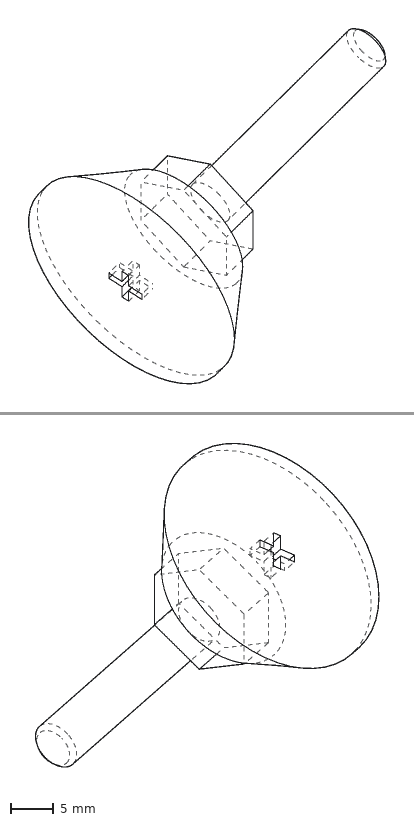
import cadquery as cq

total_length = 46.0

pad_diameter = 30.0
pad_top_diameter = 18.0
pad_height = 11.0
rim_height = 2.0
rim_fillet = 0.5

hex_across_flats = 13.0
hex_height = 5.0

stud_diameter = 6.0
stud_chamfer = 0.6
stud_length = total_length - pad_height - hex_height

cross_span = 5.0
cross_arm_width = 1.0
cross_depth = 2.02


def plane_at(height):
    """Plane square to the axis, with its normal along +Y and its local x along world X."""
    return cq.Workplane(cq.Plane(origin=(0, height, 0), xDir=(1, 0, 0), normal=(0, 1, 0)))


def make_pad():
    """Short cylindrical rim with a rounded bottom edge, tapering up to a flat top."""
    profile = (
        cq.Workplane("XY")
        .lineTo(pad_diameter / 2, 0)
        .lineTo(pad_diameter / 2, rim_height)
        .lineTo(pad_top_diameter / 2, pad_height)
        .lineTo(0, pad_height)
        .close()
    )
    pad = profile.revolve(360, (0, 0, 0), (0, 1, 0))
    return pad.faces("<Y").edges().fillet(rim_fillet)


def make_hexagon():
    """Hexagon with two corners on the Z direction and two flats facing X."""
    return plane_at(pad_height).polygon(6, hex_across_flats, circumscribed=True).extrude(hex_height)


def make_stud():
    """Plain round stud with a chamfered free end."""
    stud = plane_at(pad_height + hex_height).circle(stud_diameter / 2).extrude(stud_length)
    return stud.faces(">Y").edges().chamfer(stud_chamfer)


def make_cross_recess():
    """Two crossing bars that cut into the bearing face."""
    level = plane_at(0).rect(cross_span, cross_arm_width).extrude(cross_depth)
    upright = plane_at(0).rect(cross_arm_width, cross_span).extrude(cross_depth)
    return level.union(upright)


result = make_pad().union(make_hexagon()).union(make_stud()).cut(make_cross_recess())